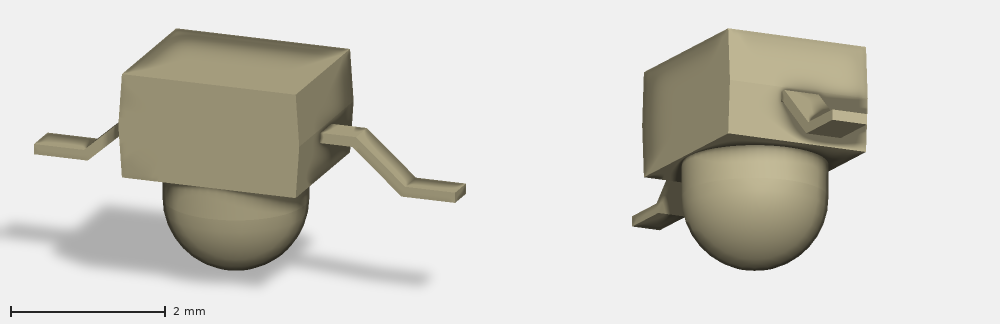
import cadquery as cq

housing_depth = 2.0
housing_height = 1.41
housing_end_width = 2.4
housing_ridge_width = 2.5

lens_diameter = 1.9
overall_height = 2.8
lens_radius = lens_diameter / 2
lens_cylinder_height = overall_height - housing_height - lens_radius

overall_length = 5.8
left_reach = 2.695
right_reach = overall_length - left_reach
left_lead_width = 0.5
right_lead_width = 0.4
lead_thickness = 0.14
lead_drop_from_top = 0.765
foot_length = 0.69
slope_run = 0.68
slope_fall = 0.6
bend_offset = 0.05

half_height = housing_height / 2


def make_housing():
    """Six-sided block with the domed lens moulded onto its underside."""
    half_end = housing_end_width / 2
    half_ridge = housing_ridge_width / 2
    block = (
        cq.Workplane("XZ")
        .polyline([
            (-half_end, -half_height),
            (half_end, -half_height),
            (half_ridge, 0),
            (half_end, half_height),
            (-half_end, half_height),
            (-half_ridge, 0),
        ])
        .close()
        .extrude(housing_depth / 2, both=True)
    )
    dome_center = (0, 0, -half_height - lens_cylinder_height)
    stem = (
        cq.Workplane("XY", origin=dome_center)
        .circle(lens_radius)
        .extrude(lens_cylinder_height + half_height)
    )
    dome = (
        cq.Workplane("XZ", origin=dome_center)
        .moveTo(0, 0)
        .lineTo(lens_radius, 0)
        .radiusArc((0, -lens_radius), lens_radius)
        .close()
        .revolve(360, (0, 0), (0, 1))
    )
    return block.union(stem).union(dome)


def end_face_x(z):
    """Distance from the centre to the lower sloping end face at height z."""
    taper = (housing_ridge_width - housing_end_width) / 2
    return housing_ridge_width / 2 - taper * abs(z) / half_height


def make_lead(side, reach, width):
    """Lead bent down to a flat foot; side is -1 for left and 1 for right."""
    lead_top = half_height - lead_drop_from_top
    lead_bottom = lead_top - lead_thickness
    foot_top = lead_top - slope_fall
    foot_bottom = foot_top - lead_thickness
    foot_bend = reach - foot_length
    upper_bend = foot_bend - slope_run
    outline = [
        (end_face_x(lead_top), lead_top),
        (upper_bend, lead_top),
        (foot_bend, foot_top),
        (reach, foot_top),
        (reach, foot_bottom),
        (foot_bend - bend_offset, foot_bottom),
        (upper_bend - bend_offset, lead_bottom),
        (end_face_x(lead_bottom), lead_bottom),
    ]
    return (
        cq.Workplane("XZ")
        .polyline([(side * x, z) for x, z in outline])
        .close()
        .extrude(width / 2, both=True)
    )


housing = make_housing()
leads = [
    make_lead(side, reach, width)
    for side, reach, width in [
        (-1, left_reach, left_lead_width),
        (1, right_reach, right_lead_width),
    ]
]

result = cq.Compound.makeCompound([
    housing.solids().val(),
    *[lead.solids().val() for lead in leads],
])